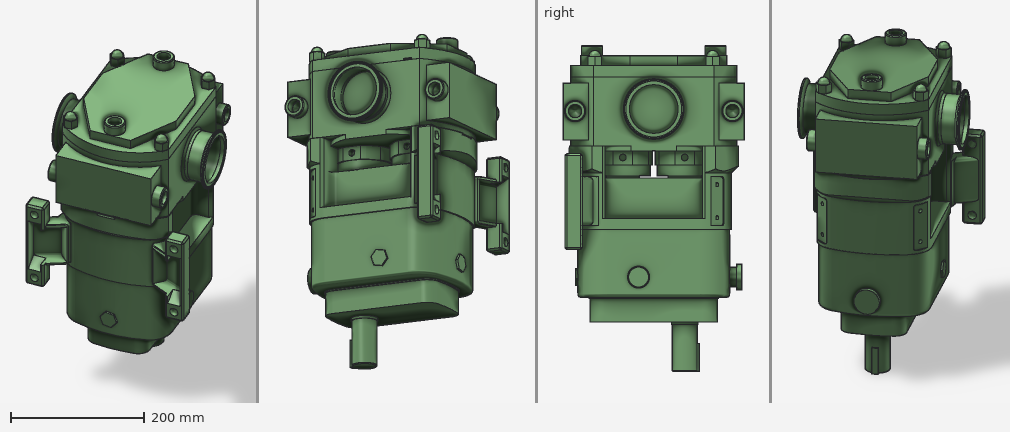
import cadquery as cq
import math


shaft_end_z = 0.0
bearing_cover_z = 73.8
gearbox_z = 110.8
gearcase_z = 213.0
collar_z = 297.5
casing_z = 338.0
cover_z = 441.5
plate_z = 458.7
plate_top_z = 473.4
top_z = 488.83

axis_y = 46.4

shaft_d = 38.0
shaft_shoulder_d = 40.0
shaft_shoulder_height = 4.0
shaft_chamfer = 1.5
key_width = 10.0
key_proud = 3.0
key_length = 42.0

bearing_half_x = 50.0
bearing_half_y = 96.0
bearing_corner_r = 19.5
bearing_end_r = 250.0
bearing_lip = 1.5
bearing_lip_height = 2.0

gearbox_half_x = 85.0
gearbox_half_y = 114.3
gearbox_corner_r = 37.0
gearbox_end_r = 200.0
gearbox_bottom_fillet = 5.0
case_offset = 2.6
case_half_x = gearbox_half_x + case_offset
case_half_y = gearbox_half_y + case_offset
collar_r = 127.5
collar_taper_height = 25.0

window_z = 229.5
window_half_y = 73.0
window_mouth_half_y = 77.0
window_mouth_depth = 6.0
window_corner_r = 9.0
block_half_x = 56.0
block_top_z = 290.0

pad_sum = 170.2
pad_bottom_z = 218.3
pad_top_z = 291.9
pad_end_x = 66.5
pad_corner_r = 4.0
pad_hole_d = 6.0
pad_hole_depth = 12.0
pad_hole_inset = 12.0
pad_middle_x = 75.0

fitting_z = 141.3
plug_corner_d = 27.5
plug_height = 3.2
plug_turn = 20.0
side_plug_y = -22.8
sight_glass_d = 30.0
sight_glass_height = 7.3
sight_glass_collar_d = 33.0
sight_glass_collar_height = 1.4
breather_neck_d = 30.0
breather_neck_height = 10.0
breather_cap_d = 39.0
breather_cap_height = 8.0
embed = 10.0

head_r = 125.0
head_half_x = 86.5
spigot_r = 93.0
spigot_height = 7.4
pry_slot_depth = 5.0
pry_slot_height = 3.0
case_slot_width = 29.0
cover_slot_width = 13.0
cover_slot_y = -69.5

gland_r = 44.5
gland_z = 309.4
gland_flat_half_width = 14.5
gland_diagonal = 43.0
gland_hole_d = 10.0
gland_hole_z = 320.7
gland_hole_depth = 10.0
gland_ring_r = 41.5
gland_ring_z = 293.2
gland_foot_r = 25.0

port_z = 393.4
port_end_x = 123.2
port_tube_d = 76.0
port_bore_d = 73.0
port_bore_depth = 32.5
port_flange_d = 91.0
port_rim = 3.0
port_flange_thickness = 7.0
port_rim_chamfer = 0.8
port_groove_outer_r = 43.8
port_groove_inner_r = 42.0
port_groove_depth = 1.5
port_root_d = 77.0
port_root_end_x = 95.0
port_root_fillet = 3.5

jacket_half_x = 77.7
jacket_outer_y = 136.0
jacket_inner_y = 97.5
jacket_bottom_z = 346.8
jacket_top_z = 432.3
socket_d = 32.0
socket_bore_d = 20.0
socket_chamfer = 1.5
socket_bore_depth = 15.0
drill_tip_angle = 118.0
jacket_socket_length = 14.5
jacket_socket_y = 118.0
jacket_socket_z = 390.3
cover_socket_y = 92.7

plate_half_x = 75.5
plate_half_y = 109.5
plate_end_half_x = 33.0
plate_side_half_y = 35.5
nut_x = 74.2
nut_y = 88.4
nut_flats = 20.0
nut_height = 13.6
nut_dome_r = 9.0

foot_outer_x = 129.195
foot_inner_x = 98.9
foot_front_y = -133.4
foot_back_y = -107.0
foot_bottom_z = 182.4
foot_top_z = 326.6
foot_edge = 3.0
foot_hole_d = 13.0
foot_hole_x = 114.0
foot_hole_inset = 14.7
foot_wall = 5.2
arm_rib = 4.7
arm_chamfer = 3.0
arm_back_fillet = 7.0
flange_end_x = 69.5
arm_web_fillet = 4.0
bar_window_inner_x = 104.0
bar_window_bottom_z = 210.5
bar_window_top_z = 297.7
bar_window_back_y = -113.0
flange_corner_r = 5.0
arm_elbow_x = 89.5
arm_elbow_y = -91.0
arm_front_x = 95.0
arm_front_y = -125.0
flange_sum = 181.5
web_thickness = 6.0


def slab(half_x, half_y, z0, z1):
    """Box centred on the Z axis between two levels."""
    return cq.Workplane("XY").workplane(offset=z0).rect(2 * half_x, 2 * half_y).extrude(z1 - z0)


def box(x0, x1, y0, y1, z0, z1):
    """Box given by its limits."""
    return cq.Workplane("XY").box(x1 - x0, y1 - y0, z1 - z0, centered=False).translate((x0, y0, z0))


def rod(radius, z0, z1, y=0.0):
    """Vertical cylinder between two levels."""
    return cq.Workplane("XY").workplane(offset=z0).center(0, y).circle(radius).extrude(z1 - z0)


def barrel(half_x, half_y, corner_r, end_r, z):
    """Outline with flat sides at +-X, bulged ends at +-Y and tangent round corners."""
    end_centre_y = half_y - end_r
    corner_x = half_x - corner_r
    corner_y = end_centre_y + math.sqrt((end_r - corner_r) ** 2 - corner_x ** 2)
    lean = math.asin(corner_x / (end_r - corner_r))
    tangent_x = end_r * math.sin(lean)
    tangent_y = end_centre_y + end_r * math.cos(lean)
    middle_angle = (math.pi / 2 - lean) / 2
    mid_x = corner_x + corner_r * math.cos(middle_angle)
    mid_y = corner_y + corner_r * math.sin(middle_angle)
    return (
        cq.Workplane("XY").workplane(offset=z)
        .moveTo(half_x, -corner_y)
        .lineTo(half_x, corner_y)
        .threePointArc((mid_x, mid_y), (tangent_x, tangent_y))
        .threePointArc((0, half_y), (-tangent_x, tangent_y))
        .threePointArc((-mid_x, mid_y), (-half_x, corner_y))
        .lineTo(-half_x, -corner_y)
        .threePointArc((-mid_x, -mid_y), (-tangent_x, -tangent_y))
        .threePointArc((0, -half_y), (tangent_x, -tangent_y))
        .threePointArc((mid_x, -mid_y), (half_x, -corner_y))
        .close()
    )


def flattened_disc(radius, half_x, z0, z1):
    """Disc with two flats at +-X."""
    return rod(radius, z0, z1).intersect(slab(half_x, radius, z0, z1))


def turned(profile, origin, direction):
    """Solid of revolution from (radius, distance) points, placed along a direction."""
    body = cq.Workplane("XZ").polyline(profile).close().revolve(360, (0, 0, 0), (0, 1, 0))
    plane = cq.Plane(origin=origin, normal=direction)
    return body.val().moved(plane.location)


def socket(length, origin, direction):
    """Outside of a threaded socket, with a chamfered rim."""
    radius = socket_d / 2
    profile = [
        (0, -embed),
        (radius, -embed),
        (radius, length - socket_chamfer),
        (radius - socket_chamfer, length),
        (0, length),
    ]
    return turned(profile, origin, direction)


def socket_bore(length, origin, direction):
    """Blind bore with a conical tip that goes with a socket."""
    radius = socket_bore_d / 2
    tip = radius / math.tan(math.radians(drill_tip_angle / 2))
    bottom = length - socket_bore_depth
    profile = [(0, bottom - tip), (radius, bottom), (radius, length), (0, length)]
    return turned(profile, origin, direction)


def make_gearbox():
    body = barrel(gearbox_half_x, gearbox_half_y, gearbox_corner_r, gearbox_end_r, gearbox_z)
    body = body.extrude(gearcase_z - gearbox_z).faces("<Z").edges().fillet(gearbox_bottom_fillet)
    bearing_cover = barrel(
        bearing_half_x, bearing_half_y, bearing_corner_r, bearing_end_r, bearing_cover_z
    ).extrude(gearbox_z - bearing_cover_z)
    lip = barrel(
        bearing_half_x + bearing_lip, bearing_half_y + bearing_lip,
        bearing_corner_r + bearing_lip, bearing_end_r, gearbox_z - bearing_lip_height,
    ).extrude(bearing_lip_height)
    return body.union(bearing_cover).union(lip)


def case_outline(z):
    return barrel(
        case_half_x, case_half_y, gearbox_corner_r + case_offset, gearbox_end_r + case_offset, z
    )


def make_gearcase():
    lower = case_outline(gearcase_z).extrude(collar_z - gearcase_z)
    collar = flattened_disc(collar_r, case_half_x, collar_z, casing_z)
    flare = case_outline(collar_z).extrude(collar_taper_height, taper=-45)
    flared_end = collar.intersect(flare)
    straight_end = collar.intersect(
        slab(case_half_x, collar_r, collar_z + collar_taper_height, casing_z)
    )
    return lower.union(flared_end).union(straight_end)


def window_pocket(side):
    """Pocket beside the block, open at one X side, with a flared mouth."""
    mouth_x = case_half_x - window_mouth_depth
    pocket = slab(case_half_x - block_half_x, window_half_y, window_z, casing_z)
    pocket = pocket.edges("|Z").fillet(window_corner_r).translate((case_half_x, 0, 0))
    mouth = (
        cq.Workplane("XY").workplane(offset=window_z)
        .polyline([
            (mouth_x, -window_half_y),
            (case_half_x, -window_mouth_half_y),
            (case_half_x, window_mouth_half_y),
            (mouth_x, window_half_y),
        ])
        .close()
        .extrude(casing_z - window_z)
    )
    pocket = pocket.union(mouth)
    return pocket if side > 0 else pocket.mirror("YZ")


def pad_cutter(side_x, side_y):
    """Prism outside the 45 degree pad plane, with two bolt holes."""
    far = pad_sum - pad_end_x + 2 * embed
    prism = (
        cq.Workplane("XY").workplane(offset=pad_bottom_z)
        .polyline([
            (pad_end_x, pad_sum - pad_end_x),
            (pad_end_x, far),
            (far, far),
            (far, pad_sum - far),
        ])
        .close()
        .extrude(pad_top_z - pad_bottom_z)
    )
    prism = prism.faces("<X").edges("|Y").fillet(pad_corner_r)
    plane = cq.Plane(
        origin=(pad_middle_x, pad_sum - pad_middle_x, 0), xDir=(-1, 1, 0), normal=(1, 1, 0)
    )
    hole_levels = (pad_bottom_z + pad_hole_inset, pad_top_z - pad_hole_inset)
    holes = (
        cq.Workplane(plane)
        .pushPoints([(0, z) for z in hole_levels])
        .circle(pad_hole_d / 2)
        .extrude(-pad_hole_depth)
    )
    cutter = prism.union(holes)
    if side_x < 0:
        cutter = cutter.mirror("YZ")
    if side_y < 0:
        cutter = cutter.mirror("XZ")
    return cutter


def hex_plug(origin, direction):
    plane = cq.Plane(origin=origin, xDir=(0, 0, 1), normal=direction)
    plug = cq.Workplane(plane).transformed(rotate=(0, 0, plug_turn))
    return plug.workplane(offset=-embed).polygon(6, plug_corner_d).extrude(embed + plug_height)


def make_fittings():
    front_plug = hex_plug((0, -gearbox_half_y, fitting_z), (0, -1, 0))
    side_plug = hex_plug((-gearbox_half_x, side_plug_y, fitting_z), (-1, 0, 0))
    sight_glass = turned(
        [
            (0, -embed),
            (sight_glass_collar_d / 2, -embed),
            (sight_glass_collar_d / 2, sight_glass_collar_height),
            (sight_glass_d / 2, sight_glass_collar_height),
            (sight_glass_d / 2, sight_glass_height),
            (0, sight_glass_height),
        ],
        (gearbox_half_x, side_plug_y, fitting_z), (1, 0, 0),
    )
    breather_end = breather_neck_height + breather_cap_height
    breather = turned(
        [
            (0, -embed),
            (breather_neck_d / 2, -embed),
            (breather_neck_d / 2, breather_neck_height),
            (breather_cap_d / 2, breather_neck_height),
            (breather_cap_d / 2, breather_end),
            (0, breather_end),
        ],
        (0, gearbox_half_y, fitting_z), (0, 1, 0),
    )
    return [front_plug, side_plug, cq.Workplane(sight_glass), cq.Workplane(breather)]


housing = make_gearbox().union(make_gearcase())
housing = housing.cut(slab(collar_r, window_half_y, block_top_z, casing_z))
for side in (1, -1):
    housing = housing.cut(window_pocket(side))
    for end in (1, -1):
        housing = housing.cut(pad_cutter(side, end))
housing = housing.cut(box(
    -case_slot_width / 2, case_slot_width / 2,
    -collar_r, -collar_r + pry_slot_depth,
    casing_z - pry_slot_height, casing_z,
))
for side in (1, -1):
    housing = housing.cut(rod(gland_r, block_top_z, casing_z, side * axis_y))
housing = housing.cut(rod(spigot_r, casing_z - spigot_height, casing_z))
for fitting in make_fittings():
    housing = housing.union(fitting)


def make_shaft():
    shaft = rod(shaft_d / 2, shaft_end_z, bearing_cover_z, axis_y)
    shaft = shaft.faces("<Z").chamfer(shaft_chamfer)
    shoulder = rod(
        shaft_shoulder_d / 2, bearing_cover_z - shaft_shoulder_height, bearing_cover_z, axis_y
    )
    key = box(
        -key_width / 2, key_width / 2,
        axis_y, axis_y + shaft_d / 2 + key_proud,
        shaft_end_z, shaft_end_z + key_length,
    )
    return shaft.union(shoulder).union(key)


shaft = make_shaft()


def make_gland(y):
    top = casing_z - spigot_height
    upper = rod(gland_r, gland_z, top, y)
    flat_x = math.sqrt(gland_r ** 2 - gland_flat_half_width ** 2)
    upper = upper.intersect(slab(flat_x, collar_r, gland_z, top))
    diagonal_flats = slab(gland_diagonal, gland_diagonal, gland_z, top)
    upper = upper.intersect(diagonal_flats.rotate((0, 0, 0), (0, 0, 1), 45).translate((0, y, 0)))
    for side in (1, -1):
        hole = cq.Workplane("YZ").workplane(offset=side * flat_x).center(y, gland_hole_z)
        upper = upper.cut(hole.circle(gland_hole_d / 2).extrude(-side * gland_hole_depth))
    ring = rod(gland_ring_r, gland_ring_z, gland_z, y)
    foot = rod(gland_foot_r, block_top_z, gland_ring_z, y)
    return upper.union(ring).union(foot)


def port_tube(side):
    length = port_end_x - head_half_x
    root = port_root_end_x - head_half_x
    profile = [
        (0, -embed),
        (port_root_d / 2 + port_root_fillet, -embed),
        (port_root_d / 2 + port_root_fillet, 0),
        (port_root_d / 2, port_root_fillet),
        (port_root_d / 2, root),
        (port_tube_d / 2, root),
        (port_tube_d / 2, length - port_flange_thickness),
        (port_flange_d / 2, length - port_rim),
        (port_flange_d / 2, length - port_rim_chamfer),
        (port_flange_d / 2 - port_rim_chamfer, length),
        (port_groove_outer_r, length),
        (port_groove_outer_r, length - port_groove_depth),
        (port_groove_inner_r, length - port_groove_depth),
        (port_groove_inner_r, length),
        (0, length),
    ]
    return turned(profile, (side * head_half_x, 0, port_z), (side, 0, 0))


def port_bore(side):
    rim = cq.Workplane("YZ").workplane(offset=side * port_end_x).center(0, port_z)
    return rim.circle(port_bore_d / 2).extrude(-side * port_bore_depth)


def make_casing():
    body = flattened_disc(head_r, head_half_x, casing_z, cover_z)
    body = body.union(flattened_disc(spigot_r, head_half_x, casing_z - spigot_height, casing_z))
    for side in (1, -1):
        body = body.union(make_gland(side * axis_y))
        inner, outer = sorted((side * jacket_inner_y, side * jacket_outer_y))
        body = body.union(box(
            -jacket_half_x, jacket_half_x, inner, outer, jacket_bottom_z, jacket_top_z
        ))
        body = body.union(cq.Workplane(port_tube(side))).cut(port_bore(side))
    for side in (1, -1):
        for end in (1, -1):
            origin = (side * jacket_half_x, end * jacket_socket_y, jacket_socket_z)
            direction = (side, 0, 0)
            body = body.union(cq.Workplane(socket(jacket_socket_length, origin, direction)))
            body = body.cut(cq.Workplane(socket_bore(jacket_socket_length, origin, direction)))
    return body


casing = make_casing()


def make_plate():
    quarter = [(plate_half_x, plate_side_half_y), (plate_end_half_x, plate_half_y)]
    upper = quarter + [(-x, y) for x, y in reversed(quarter)]
    outline = upper + [(-x, -y) for x, y in upper]
    plate = cq.Workplane("XY").workplane(offset=plate_z).polyline(outline).close()
    return plate.extrude(plate_top_z - plate_z)


def cap_nut(x, y):
    nut = cq.Workplane("XY").workplane(offset=plate_z).center(x, y)
    nut = nut.polygon(6, nut_flats / math.cos(math.pi / 6)).extrude(nut_height)
    dome = cq.Workplane("XY").sphere(nut_dome_r).translate((x, y, plate_z + nut_height))
    return nut.union(dome)


def make_cover():
    body = flattened_disc(head_r, head_half_x, cover_z, plate_z).union(make_plate())
    for end in (1, -1):
        origin = (0, end * cover_socket_y, plate_top_z)
        length = top_z - plate_top_z
        body = body.union(cq.Workplane(socket(length, origin, (0, 0, 1))))
        body = body.cut(cq.Workplane(socket_bore(length, origin, (0, 0, 1))))
        for side in (1, -1):
            body = body.union(cap_nut(side * nut_x, end * nut_y))
    return body.cut(box(
        -head_half_x, -head_half_x + pry_slot_depth,
        cover_slot_y - cover_slot_width / 2, cover_slot_y + cover_slot_width / 2,
        cover_z, cover_z + pry_slot_height,
    ))


cover = make_cover()


def edge_near(x, y, z):
    """Selector of the edge whose middle lies closest to a point."""
    return cq.selectors.NearestToPointSelector((x, y, z))


def make_foot(side):
    """Foot on the +X side, mirrored for the other one."""
    bar = box(foot_inner_x, foot_outer_x, foot_front_y, foot_back_y, foot_bottom_z, foot_top_z)
    bar = bar.edges().chamfer(foot_edge)
    wall_x = foot_outer_x - foot_wall
    pad_end_y = pad_end_x - pad_sum
    pad_side_x = case_half_x
    arm = (
        cq.Workplane("XY").workplane(offset=pad_bottom_z)
        .polyline([
            (pad_end_x, pad_end_y),
            (pad_side_x, pad_side_x - pad_sum),
            (arm_elbow_x, arm_elbow_y),
            (wall_x, foot_back_y),
            (wall_x, foot_front_y + foot_edge),
            (arm_front_x, arm_front_y),
            (flange_end_x, flange_end_x - flange_sum),
        ])
        .close()
        .extrude(pad_top_z - pad_bottom_z)
    )
    flange_end = ((pad_end_x + flange_end_x) / 2, (pad_end_y + flange_end_x - flange_sum) / 2)
    back = ((arm_elbow_x + wall_x) / 2, (arm_elbow_y + foot_back_y) / 2)
    rib_front = ((flange_end_x + arm_front_x) / 2, (flange_end_x - flange_sum + arm_front_y) / 2)
    for z in (pad_bottom_z, pad_top_z):
        arm = arm.edges(edge_near(*flange_end, z)).fillet(flange_corner_r)
        arm = arm.edges(edge_near(*back, z)).fillet(arm_back_fillet)
    for z in (pad_bottom_z, pad_top_z):
        arm = arm.edges(edge_near(*rib_front, z)).chamfer(arm_chamfer)
    web_slope = (arm_elbow_y - foot_back_y) / (wall_x - arm_elbow_x)
    web_start_y = foot_back_y - web_thickness
    web_corner_x = (flange_sum + web_start_y + web_slope * wall_x) / (1 + web_slope)
    far_x = pad_end_x - embed
    recess = (
        cq.Workplane("XY").workplane(offset=pad_bottom_z + arm_rib)
        .polyline([
            (wall_x, web_start_y),
            (web_corner_x, web_corner_x - flange_sum),
            (far_x, far_x - flange_sum),
            (far_x, foot_front_y - embed),
            (wall_x, foot_front_y - embed),
        ])
        .close()
        .extrude(pad_top_z - pad_bottom_z - 2 * arm_rib)
    )
    web_middle = ((wall_x + web_corner_x) / 2, (web_start_y + web_corner_x - flange_sum) / 2)
    for z in (pad_bottom_z + arm_rib, pad_top_z - arm_rib):
        recess = recess.edges(edge_near(*web_middle, z)).fillet(arm_web_fillet)
    bar_window = (
        cq.Workplane("YZ").workplane(offset=bar_window_inner_x)
        .polyline([
            (foot_front_y, bar_window_bottom_z),
            (bar_window_back_y, pad_bottom_z + arm_rib),
            (bar_window_back_y, pad_top_z - arm_rib),
            (foot_front_y, bar_window_top_z),
        ])
        .close()
        .extrude(wall_x - bar_window_inner_x)
    )
    foot = bar.union(arm).cut(recess).cut(bar_window)
    hole_levels = (foot_bottom_z + foot_hole_inset, foot_top_z - foot_hole_inset)
    holes = (
        cq.Workplane("XZ").workplane(offset=-foot_back_y)
        .pushPoints([(foot_hole_x, z) for z in hole_levels])
        .circle(foot_hole_d / 2)
        .extrude(foot_back_y - foot_front_y)
    )
    foot = foot.cut(holes)
    return foot if side > 0 else foot.mirror("YZ")


feet = [make_foot(side) for side in (1, -1)]

result = cq.Compound.makeCompound(
    [housing.val(), shaft.val(), casing.val(), cover.val(), *[foot.val() for foot in feet]]
)